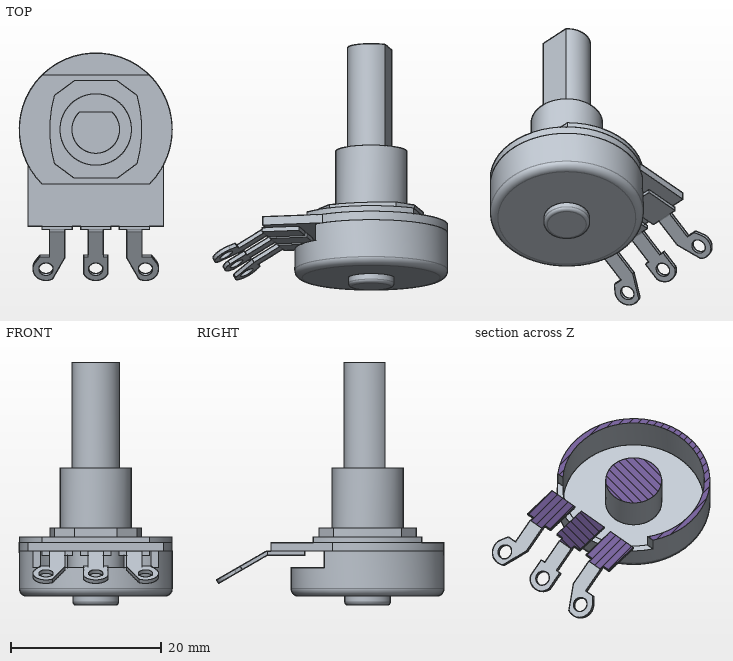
import cadquery as cq
import math

BODY_RADIUS = 10.2

PIP_HEIGHT = 1.2
HOUSING_HEIGHT = 6.0
BOARD_THICKNESS = 1.15
PLATE_THICKNESS = 0.75
SHOULDER_HEIGHT = 1.2
NECK_HEIGHT = 8.0
SHAFT_EXPOSED = 14.05

BOARD_BOTTOM = HOUSING_HEIGHT
PLATE_BOTTOM = BOARD_BOTTOM + BOARD_THICKNESS
SHOULDER_BOTTOM = PLATE_BOTTOM + PLATE_THICKNESS
NECK_BOTTOM = SHOULDER_BOTTOM + SHOULDER_HEIGHT
BUSHING_TOP = NECK_BOTTOM + NECK_HEIGHT
SHAFT_TOP = BUSHING_TOP + SHAFT_EXPOSED

WALL = 0.8
PAN_FILLET = 1.0
PIP_RADIUS = 3.05
PIP_FILLET = 0.45
WINDOW_BACK_Y = -5.8
WINDOW_SILL_Z = 3.8

BOARD_WIDTH = 18.1
BOARD_FRONT_Y = -12.9

PLATE_FLAT_Y = 7.25
NECK_RADIUS = 4.7625
SHOULDER_BULGE_X = 6.13
SHOULDER_SIDE_CORNER = (5.5, 4.55)
SHOULDER_END_CORNER = (2.85, 6.5)

SHAFT_RADIUS = 3.175
SHAFT_FLAT_Y = 2.35
HUB_RADIUS = 3.75

TERMINAL_THICKNESS = 0.55
TERMINAL_PITCH = 5.15
PAD_WIDTH = 4.05
PAD_BACK_Y = -8.35
PAD_FRONT_Y = -13.35
STEM_WIDTH = 2.05
BEND_ANGLE = 30.0
BEND_INNER_RADIUS = 0.05
EYE_RADIUS = 1.75
EYE_HOLE_RADIUS = 0.95
EYE_CENTRE_Y = -18.634
EYE_OFFSET_X = 1.48
STEP_TO_EYE = 1.9
KINK_TO_EYE = 1.75
STEP_CORNER_TO_EYE_X = 0.8
CHORD_END_ANGLE = -60.0
CENTRE_EYE_HALF_WIDTH = 1.63


def cylinder(radius, bottom, top):
    return cq.Workplane("XY").workplane(offset=bottom).circle(radius).extrude(top - bottom)


def box(x_size, y_min, y_max, z_min, z_max):
    """Box centred on x = 0."""
    return (
        cq.Workplane("XY")
        .box(x_size, y_max - y_min, z_max - z_min, centered=(True, False, False))
        .translate((0, y_min, z_min))
    )


def shaft_rod(bottom, top):
    """D-shaped rod; it also serves as the matching bore of the parts around it."""
    flat = box(2 * SHAFT_RADIUS, SHAFT_FLAT_Y, SHAFT_RADIUS, bottom, top)
    return cylinder(SHAFT_RADIUS, bottom, top).cut(flat)


def make_housing():
    """Round pan with a bottom pip and a window in the front wall for the terminals."""
    pan = cylinder(BODY_RADIUS, 0, HOUSING_HEIGHT).faces("<Z").edges().fillet(PAN_FILLET)
    pip = cylinder(PIP_RADIUS, -PIP_HEIGHT, WALL).faces("<Z").edges().fillet(PIP_FILLET)
    cavity = cylinder(BODY_RADIUS - WALL, WALL, HOUSING_HEIGHT)
    window = box(2 * BODY_RADIUS, -BODY_RADIUS, WINDOW_BACK_Y, WINDOW_SILL_Z, HOUSING_HEIGHT)
    return pan.cut(cavity).cut(window).union(pip)


def make_board():
    """Resistor board: a disc with a rectangular tongue, bored for the shaft."""
    disc = cylinder(BODY_RADIUS, BOARD_BOTTOM, PLATE_BOTTOM)
    tongue = box(BOARD_WIDTH, BOARD_FRONT_Y, 0, BOARD_BOTTOM, PLATE_BOTTOM)
    return disc.union(tongue).cut(shaft_rod(BOARD_BOTTOM, PLATE_BOTTOM))


def make_bushing():
    """Flat-sided mounting plate, faceted shoulder and round neck, bored for the shaft."""
    plate = cylinder(BODY_RADIUS, PLATE_BOTTOM, SHOULDER_BOTTOM).intersect(
        box(2 * BODY_RADIUS, -PLATE_FLAT_Y, PLATE_FLAT_Y, PLATE_BOTTOM, SHOULDER_BOTTOM)
    )
    side_x, side_y = SHOULDER_SIDE_CORNER
    end_x, end_y = SHOULDER_END_CORNER
    shoulder = (
        cq.Workplane("XY")
        .workplane(offset=SHOULDER_BOTTOM)
        .moveTo(-end_x, end_y)
        .lineTo(end_x, end_y)
        .lineTo(side_x, side_y)
        .threePointArc((SHOULDER_BULGE_X, 0), (side_x, -side_y))
        .lineTo(end_x, -end_y)
        .lineTo(-end_x, -end_y)
        .lineTo(-side_x, -side_y)
        .threePointArc((-SHOULDER_BULGE_X, 0), (-side_x, side_y))
        .close()
        .extrude(SHOULDER_HEIGHT)
    )
    neck = cylinder(NECK_RADIUS, NECK_BOTTOM, BUSHING_TOP)
    bore = shaft_rod(PLATE_BOTTOM, BUSHING_TOP)
    return plate.union(shoulder).union(neck).cut(bore)


def make_shaft():
    """D-shaped shaft with a round hub standing on the pan floor, under the board."""
    hub = cylinder(HUB_RADIUS, WALL, BOARD_BOTTOM)
    return shaft_rod(BOARD_BOTTOM, SHAFT_TOP).union(hub)


BEND = math.radians(BEND_ANGLE)
BEND_OUTER_RADIUS = BEND_INNER_RADIUS + TERMINAL_THICKNESS
BEND_END_Y = PAD_FRONT_Y - BEND_OUTER_RADIUS * math.sin(BEND)
BEND_END_Z = BOARD_BOTTOM - BEND_OUTER_RADIUS * (1 - math.cos(BEND))
LEAF_LENGTH = (BEND_END_Y - EYE_CENTRE_Y) / math.cos(BEND)
EYE_CENTRE_Z = BEND_END_Z - LEAF_LENGTH * math.sin(BEND)


def on_eye(angle):
    """Point on the rim of the eye, at an angle in radians."""
    return (EYE_RADIUS * math.cos(angle), EYE_RADIUS * math.sin(angle))


def centre_leaf_outline(profile):
    """Straight stem widening to a round-ended eye."""
    half_stem = STEM_WIDTH / 2
    half_eye = CENTRE_EYE_HALF_WIDTH
    arc_start_v = -math.sqrt(EYE_RADIUS**2 - half_eye**2)
    return (
        profile.moveTo(-half_stem, LEAF_LENGTH)
        .lineTo(-half_stem, STEP_TO_EYE)
        .lineTo(-half_eye, STEP_TO_EYE)
        .lineTo(-half_eye, arc_start_v)
        .threePointArc((0, -EYE_RADIUS), (half_eye, arc_start_v))
        .lineTo(half_eye, STEP_TO_EYE)
        .lineTo(half_stem, STEP_TO_EYE)
        .lineTo(half_stem, LEAF_LENGTH)
        .close()
    )


def outer_leaf_outline(profile):
    """Left-hand leaf: the eye sits to the left of the stem, with one straight slanted edge."""
    outer_u = EYE_OFFSET_X - STEM_WIDTH / 2
    inner_u = EYE_OFFSET_X + STEM_WIDTH / 2
    corner_distance = math.hypot(STEP_CORNER_TO_EYE_X, STEP_TO_EYE)
    corner_angle = math.atan2(STEP_TO_EYE, -STEP_CORNER_TO_EYE_X)
    tangent_angle = corner_angle + math.acos(EYE_RADIUS / corner_distance)
    chord_angle = math.radians(CHORD_END_ANGLE) + 2 * math.pi
    return (
        profile.moveTo(outer_u, LEAF_LENGTH)
        .lineTo(outer_u, STEP_TO_EYE)
        .lineTo(-STEP_CORNER_TO_EYE_X, STEP_TO_EYE)
        .lineTo(*on_eye(tangent_angle))
        .threePointArc(on_eye((tangent_angle + chord_angle) / 2), on_eye(chord_angle))
        .lineTo(inner_u, KINK_TO_EYE)
        .lineTo(inner_u, LEAF_LENGTH)
        .close()
    )


def make_terminal(leaf_outline, eye_x):
    """Terminal on the x = 0 stem line: pad under the board, bend, and leaf with its eye."""
    pad_bottom = BOARD_BOTTOM - TERMINAL_THICKNESS
    pad = box(PAD_WIDTH, PAD_FRONT_Y, PAD_BACK_Y, pad_bottom, BOARD_BOTTOM)
    axis_height = TERMINAL_THICKNESS / 2 - BEND_OUTER_RADIUS
    bend = (
        cq.Workplane("XZ", origin=(0, PAD_FRONT_Y, BOARD_BOTTOM - TERMINAL_THICKNESS / 2))
        .rect(STEM_WIDTH, TERMINAL_THICKNESS)
        .revolve(BEND_ANGLE, (-1, axis_height), (1, axis_height))
    )
    leaf_plane = cq.Plane(
        origin=(eye_x, EYE_CENTRE_Y, EYE_CENTRE_Z),
        xDir=(1, 0, 0),
        normal=(0, -math.sin(BEND), math.cos(BEND)),
    )
    leaf = leaf_outline(cq.Workplane(leaf_plane)).extrude(-TERMINAL_THICKNESS)
    hole = cq.Workplane(leaf_plane).circle(EYE_HOLE_RADIUS).extrude(-TERMINAL_THICKNESS)
    return pad.union(bend).union(leaf.cut(hole))


housing = make_housing()
board = make_board()
bushing = make_bushing()
shaft = make_shaft()
centre_terminal = make_terminal(centre_leaf_outline, 0)
left_terminal = make_terminal(outer_leaf_outline, -EYE_OFFSET_X).translate((-TERMINAL_PITCH, 0, 0))
right_terminal = left_terminal.mirror("YZ")

result = cq.Compound.makeCompound(
    [
        housing.val(),
        board.val(),
        bushing.val(),
        shaft.val(),
        left_terminal.val(),
        centre_terminal.val(),
        right_terminal.val(),
    ]
)